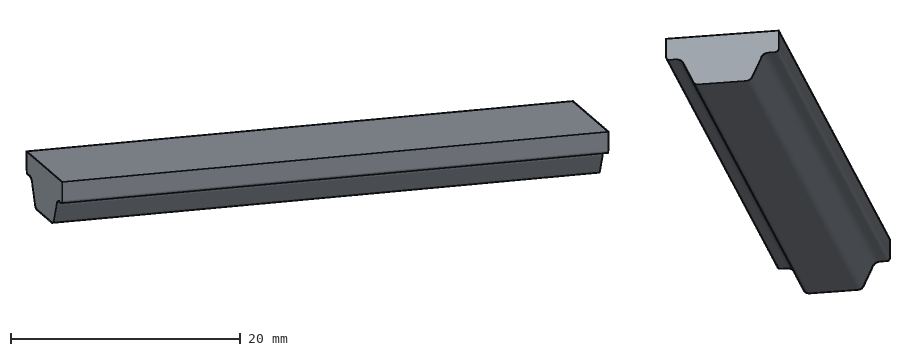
import cadquery as cq
import math

length = 50.0
width = 10.0
height = 4.5

backing_thickness = 2.0
edge_radius = 0.3

tip_width = 5.0
flank_angle = 25.0
tip_radius = 0.6
root_radius = 0.75
root_depth = 0.6

half_width = width / 2
half_tip = tip_width / 2
top_z = height / 2
bottom_z = -height / 2
root_z = top_z - backing_thickness

flank_z = root_z - root_depth
flank_x = half_tip + (flank_z - bottom_z) * math.tan(math.radians(flank_angle))
hollow_sweep = math.acos(1 - root_depth / root_radius)
hollow_x = flank_x + root_radius * math.sin(hollow_sweep)
hollow_mid_x = hollow_x - root_radius * math.sin(hollow_sweep / 2)
hollow_mid_z = root_z - root_radius * (1 - math.cos(hollow_sweep / 2))


def make_bar():
    """Toothed profile extruded along Y, centred on the origin."""
    profile = (
        cq.Workplane("XZ")
        .moveTo(-half_width, top_z)
        .lineTo(half_width, top_z)
        .lineTo(half_width, root_z)
        .lineTo(hollow_x, root_z)
        .threePointArc((hollow_mid_x, hollow_mid_z), (flank_x, flank_z))
        .lineTo(half_tip, bottom_z)
        .lineTo(-half_tip, bottom_z)
        .lineTo(-flank_x, flank_z)
        .threePointArc((-hollow_mid_x, hollow_mid_z), (-hollow_x, root_z))
        .lineTo(-half_width, root_z)
        .close()
    )
    return profile.extrude(length / 2, both=True)


def round_edge_pair(bar, x, z, radius):
    """Round the two lengthwise edges at -x and +x on height z."""
    for side in (-1, 1):
        edge = cq.selectors.NearestToPointSelector((side * x, 0, z))
        bar = bar.edges("|Y").edges(edge).fillet(radius)
    return bar


result = make_bar()
result = round_edge_pair(result, half_tip, bottom_z, tip_radius)
result = round_edge_pair(result, half_width, root_z, edge_radius)